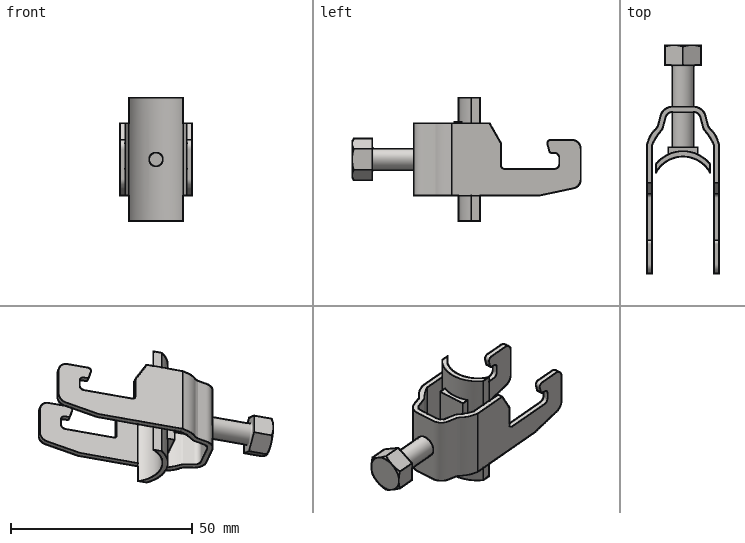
import cadquery as cq
import math

total_length = 63.0
through_margin = 3.15

bracket_width = 20.0
bracket_height = 20.0
sheet = 1.5
crown_y = 46.05
crown_flat_half = 2.9

outer_side = (6.25, 43.4)
outer_neck = ((6.9, 40.75), (7.4, 40.0))
outer_shoulder = ((8.8, 38.35), (9.65, 36.55))
outer_wall_y = 35.55
inner_side = (4.8, 43.0)
inner_neck = ((5.55, 40.2), (5.8, 39.7))
inner_shoulder = ((7.25, 37.8), (8.2, 36.15))
inner_wall_y = 35.4

top_edge_end_y = 25.15
front_edge_y = 22.0
front_edge_top_z = 4.5
slot_floor_z = -2.6
slot_end_y = 6.0
slot_roof_z = 1.75
hook_top_z = 5.4
hook_tip_top_y = 9.6
hook_tip_bottom_y = 8.55
bottom_edge_end_y = 11.4
nose_bottom_z = -7.55
slot_end_radius = 1.25
lip_radius = 0.6
small_radius = 1.0
nose_radius = 2.5

saddle_height = 34.0
saddle_half_width = 7.5
saddle_back_y = 33.75
saddle_outer_radius = 9.7
saddle_inner_radius = 8.5
saddle_front_y = saddle_back_y - sheet
block_width = 8.25
block_back_y = 34.9
block_top_z = 10.35
block_height = bracket_height

shaft_diameter = 6.0
tip_diameter = 3.8
head_height = 5.55
head_across_flats = 10.0
head_sides = 6
head_chamfer_angle = 30.0
neck_fillet = 0.4


def rod(diameter, y_start, y_end):
    """Cylinder on the bolt axis between two Y positions."""
    plane = cq.Workplane("XZ", origin=(0, y_end, 0))
    return plane.circle(diameter / 2).extrude(y_end - y_start)


def bent_prism(half_width, top_y, side, neck, shoulder, wall_y):
    """Prism under one face of the bent strip; the points are given for the +X half."""
    def left(point):
        return (-point[0], point[1])

    run = side[0] - crown_flat_half
    drop = top_y - side[1]
    corner_radius = (run**2 + drop**2) / (2 * drop)
    half_turn = math.atan2(drop, run)
    corner_middle = (
        crown_flat_half + corner_radius * math.sin(half_turn),
        top_y - corner_radius * (1 - math.cos(half_turn)),
    )
    neck_top, neck_bottom = neck
    shoulder_middle, shoulder_bottom = shoulder
    return (
        cq.Workplane("XY", origin=(0, 0, -bracket_height / 2))
        .moveTo(-crown_flat_half, top_y)
        .lineTo(crown_flat_half, top_y)
        .threePointArc(corner_middle, side)
        .lineTo(*neck_top)
        .lineTo(*neck_bottom)
        .threePointArc(shoulder_middle, shoulder_bottom)
        .lineTo(half_width, wall_y)
        .lineTo(half_width, -through_margin)
        .lineTo(-half_width, -through_margin)
        .lineTo(-half_width, wall_y)
        .lineTo(*left(shoulder_bottom))
        .threePointArc(left(shoulder_middle), left(neck_bottom))
        .lineTo(*left(neck_top))
        .lineTo(*left(side))
        .threePointArc(left(corner_middle), (-crown_flat_half, top_y))
        .close()
        .extrude(bracket_height)
    )


def bent_strip():
    """Strip following the bends, with straight over-long legs."""
    half_width = bracket_width / 2
    outside = bent_prism(
        half_width, crown_y, outer_side, outer_neck, outer_shoulder, outer_wall_y
    )
    inside = bent_prism(
        half_width - sheet, crown_y - sheet, inner_side, inner_neck, inner_shoulder, inner_wall_y
    )
    return outside.cut(inside)


def leg_outline():
    """Side outline of the bracket as a block across its whole width."""
    half_height = bracket_height / 2
    outline = (
        cq.Workplane("YZ", origin=(-bracket_width / 2, 0, 0))
        .polyline([
            (crown_y, -half_height),
            (crown_y, half_height),
            (top_edge_end_y, half_height),
            (front_edge_y, front_edge_top_z),
            (front_edge_y, slot_floor_z),
            (slot_end_y, slot_floor_z),
            (slot_end_y, slot_roof_z),
            (hook_tip_bottom_y, slot_roof_z),
            (hook_tip_top_y, hook_top_z),
            (0, hook_top_z),
            (0, nose_bottom_z),
            (bottom_edge_end_y, -half_height),
        ])
        .close()
        .extrude(bracket_width)
    )
    rounded_corners = [
        (front_edge_y, slot_floor_z, small_radius),
        (slot_end_y, slot_floor_z, slot_end_radius),
        (slot_end_y, slot_roof_z, slot_end_radius),
        (hook_tip_bottom_y, slot_roof_z, lip_radius),
        (hook_tip_top_y, hook_top_z, small_radius),
        (0, hook_top_z, nose_radius),
        (0, nose_bottom_z, nose_radius),
    ]
    for y, z, radius in rounded_corners:
        corner = cq.selectors.NearestToPointSelector((0, y, z))
        outline = outline.edges("|X").edges(corner).fillet(radius)
    return outline


def make_bracket():
    bolt_hole = rod(shaft_diameter, crown_y - sheet - through_margin, crown_y + through_margin)
    return bent_strip().intersect(leg_outline()).cut(bolt_hole)


def arc_drop(radius):
    """Distance in Y from the crest of a saddle arc to its ends."""
    return radius - math.sqrt(radius**2 - saddle_half_width**2)


def make_saddle():
    back_end_y = saddle_back_y - arc_drop(saddle_outer_radius)
    front_end_y = saddle_front_y - arc_drop(saddle_inner_radius)
    plate = (
        cq.Workplane("XY", origin=(0, 0, -saddle_height / 2))
        .moveTo(-saddle_half_width, back_end_y)
        .threePointArc((0, saddle_back_y), (saddle_half_width, back_end_y))
        .lineTo(saddle_half_width, front_end_y)
        .threePointArc((0, saddle_front_y), (-saddle_half_width, front_end_y))
        .close()
        .extrude(saddle_height)
    )
    block_bottom_z = block_top_z - block_height
    block_depth = block_back_y - saddle_back_y + arc_drop(saddle_outer_radius)
    block = (
        cq.Workplane("XY", origin=(0, block_back_y - block_depth / 2, block_bottom_z))
        .rect(block_width, block_depth)
        .extrude(block_height)
    )
    curve_center_y = saddle_back_y - saddle_outer_radius
    curve = (
        cq.Workplane("XY", origin=(0, curve_center_y, block_bottom_z))
        .circle(saddle_outer_radius)
        .extrude(block_height)
    )
    tip_hole = rod(tip_diameter, saddle_front_y - through_margin, block_back_y + through_margin)
    return plate.union(block.cut(curve)).cut(tip_hole)


def make_bolt():
    head_base_y = total_length - head_height
    flat_radius = head_across_flats / 2
    corner_radius = flat_radius / math.cos(math.pi / head_sides)
    chamfer_drop = (corner_radius - flat_radius) * math.tan(math.radians(head_chamfer_angle))
    head = (
        cq.Workplane("XZ", origin=(0, total_length, 0))
        .polygon(head_sides, 2 * corner_radius)
        .extrude(head_height)
        .rotate((0, 0, 0), (0, 1, 0), 90)
    )
    envelope = (
        cq.Workplane("XY")
        .polyline([
            (0, head_base_y),
            (corner_radius, head_base_y),
            (corner_radius, total_length - chamfer_drop),
            (flat_radius, total_length),
            (0, total_length),
        ])
        .close()
        .revolve(360, (0, 0, 0), (0, 1, 0))
    )
    shaft_radius = shaft_diameter / 2
    tip_radius = tip_diameter / 2
    fillet_middle = neck_fillet * (1 - math.sqrt(0.5))
    shank = (
        cq.Workplane("XY")
        .moveTo(0, saddle_front_y)
        .lineTo(tip_radius, saddle_front_y)
        .lineTo(tip_radius, block_back_y)
        .lineTo(shaft_radius, block_back_y)
        .lineTo(shaft_radius, head_base_y - neck_fillet)
        .threePointArc(
            (shaft_radius + fillet_middle, head_base_y - fillet_middle),
            (shaft_radius + neck_fillet, head_base_y),
        )
        .lineTo(0, head_base_y)
        .close()
        .revolve(360, (0, 0, 0), (0, 1, 0))
    )
    return head.intersect(envelope).union(shank)


bracket = make_bracket()
saddle = make_saddle()
bolt = make_bolt()

result = cq.Compound.makeCompound([bracket.val(), saddle.val(), bolt.val()])